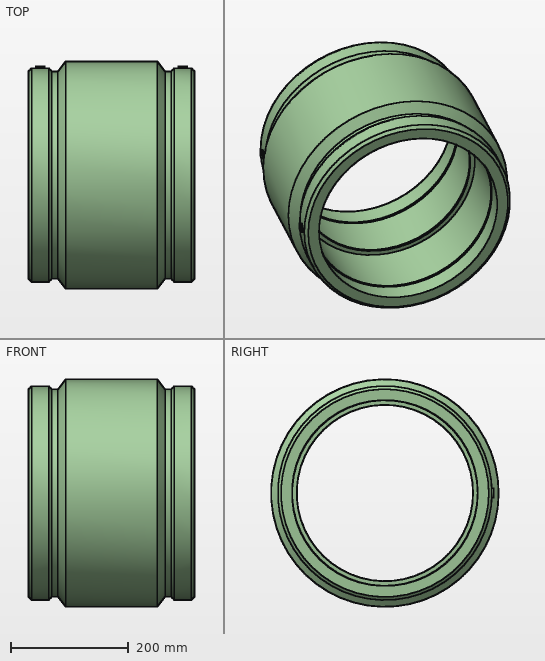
import cadquery as cq

length = 282.0
half_length = length / 2

body_diameter = 387
collar_diameter = 363.8
neck_diameter = 353.0

body_half_length = 77.8
neck_inner = 91.0
neck_outer = 101.5
collar_chamfer = (collar_diameter - neck_diameter) / 2

bore_diameter = 315.0
lip_diameter = 299.0
lip_width = 4.3
groove_depth = 0.8
groove_width = 3.0
groove_center = 104.5

plug_diameter = 15.5
plug_top = 184.5
plug_bottom = 174
plug_center = 120.7


def ring_band(diameter, width, center):
    """Solid disc on the X axis, centred at the given X position."""
    return (
        cq.Workplane("YZ", origin=(center - width / 2, 0, 0))
        .circle(diameter / 2)
        .extrude(width)
    )


def outer_body():
    """Revolve the stepped and chamfered outer outline about X."""
    right_side = [
        (body_half_length, body_diameter / 2),
        (neck_inner, neck_diameter / 2),
        (neck_outer, neck_diameter / 2),
        (neck_outer + collar_chamfer, collar_diameter / 2),
        (half_length - collar_chamfer, collar_diameter / 2),
        (half_length, neck_diameter / 2),
        (half_length, 0),
    ]
    left_side = [(-x, radius) for x, radius in reversed(right_side)]
    outline = left_side + right_side
    return cq.Workplane("XY").polyline(outline).close().revolve(360, (0, 0, 0), (1, 0, 0))


def plug(center):
    """Cylinder along Y, seated in the collar wall."""
    return (
        cq.Workplane("XZ", origin=(center, plug_top, 0))
        .circle(plug_diameter / 2)
        .extrude(plug_top - plug_bottom)
    )


bore_length = (length - lip_width) / 2
bore_center = (half_length + lip_width / 2) / 2

result = outer_body().cut(ring_band(lip_diameter, length, 0))
for side in (-1, 1):
    result = result.cut(ring_band(bore_diameter, bore_length, side * bore_center))
    result = result.cut(ring_band(bore_diameter + 2 * groove_depth, groove_width, side * groove_center))
    result = result.union(plug(side * plug_center))